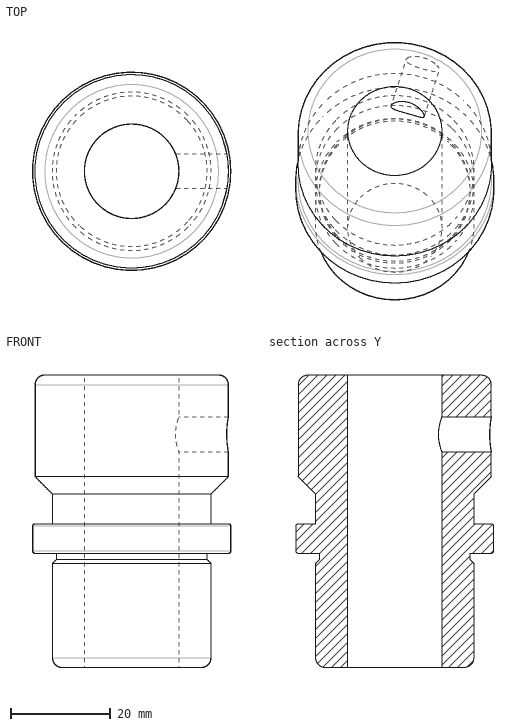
import cadquery as cq

total_height = 59.0
bore_diameter = 19.0

shank_radius = 16.0
shank_top = 21.0
shank_bottom_fillet = 2.0

groove_depth = 0.8
groove_radius = shank_radius - groove_depth

collar_radius = 20.0
collar_bottom = 23.0
collar_height = 6.0
collar_top = collar_bottom + collar_height
collar_fillet = 0.5

neck_height = 6.0
neck_top = collar_top + neck_height
head_radius = 19.5
head_bottom = neck_top + (head_radius - shank_radius)
head_top_fillet = 2.0

side_hole_diameter = 7.0
side_hole_height = 47.0


def make_cylinder(radius, bottom, top):
    return cq.Workplane("XY").workplane(offset=bottom).circle(radius).extrude(top - bottom)


def make_shank():
    """Shank with a rounded lower end and a chamfer leading into the groove."""
    shank = make_cylinder(shank_radius, 0, shank_top + groove_depth)
    return shank.faces("<Z").edges().fillet(shank_bottom_fillet).faces(">Z").edges().chamfer(groove_depth)


def make_collar():
    return make_cylinder(collar_radius, collar_bottom, collar_top).edges("%CIRCLE").fillet(collar_fillet)


def make_head():
    """Head with a 45 degree underside and a rounded top edge."""
    cone_height = head_bottom - neck_top
    blank = make_cylinder(head_radius, neck_top, total_height)
    coned = blank.faces("<Z").edges().chamfer(cone_height)
    return coned.faces(">Z").edges().fillet(head_top_fillet)


def make_side_hole():
    """Cutter running along +X from the part axis to outside the head."""
    return (
        cq.Workplane("YZ")
        .center(0, side_hole_height)
        .circle(side_hole_diameter / 2)
        .extrude(collar_radius)
    )


core = make_cylinder(groove_radius, shank_top, collar_top)
neck = make_cylinder(shank_radius, collar_top, neck_top)
bore = make_cylinder(bore_diameter / 2, 0, total_height)

body = make_shank().union(core).union(make_collar()).union(neck).union(make_head())
result = body.cut(bore).cut(make_side_hole())